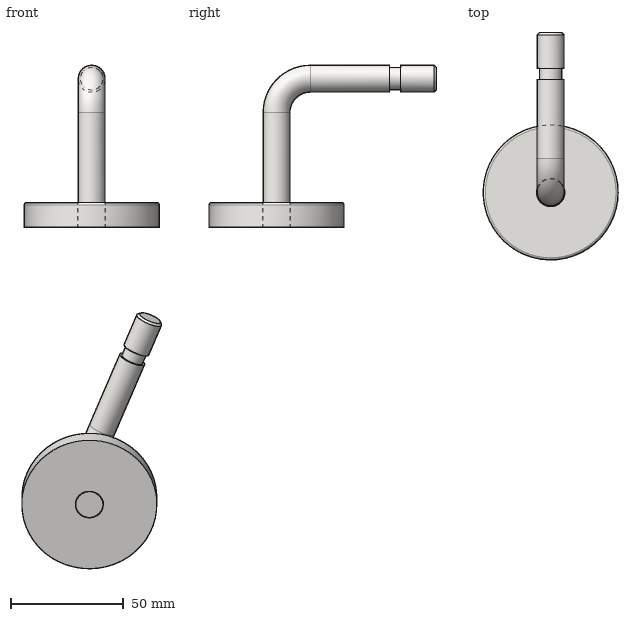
import cadquery as cq

total_length = 101.0
total_height = 72.0

base_diameter = 60.0
base_thickness = 11.0
base_edge_radius = 1.0
bore_diameter = 12.4

rod_diameter = 12.0
bend_radius = 15.0
tip_chamfer = 1.0

groove_width = 4.8
groove_depth = 1.0
tip_to_groove = 16.0

rod_radius = rod_diameter / 2
arm_height = total_height - rod_radius
tip_y = total_length - base_diameter / 2
bend_start_z = arm_height - bend_radius
groove_tip_side_y = tip_y - tip_to_groove


def make_base():
    """Round base with a softened upper rim and a through bore for the rod."""
    disc = cq.Workplane("XY").circle(base_diameter / 2).extrude(base_thickness)
    disc = disc.faces(">Z").edges().fillet(base_edge_radius)
    bore = cq.Workplane("XY").circle(bore_diameter / 2).extrude(base_thickness)
    return disc.cut(bore)


def make_groove_cutter():
    """Ring around the horizontal arm, extruded from the tip side of the groove toward -Y."""
    groove_floor_radius = rod_radius - groove_depth
    cutter_outer_radius = rod_radius + groove_depth
    return (
        cq.Workplane("XZ", origin=(0, groove_tip_side_y, arm_height))
        .circle(cutter_outer_radius)
        .circle(groove_floor_radius)
        .extrude(groove_width)
    )


def make_rod():
    """Round rod from the underside of the base, bent 90 degrees, grooved and chamfered at its tip."""
    path = (
        cq.Workplane("YZ")
        .moveTo(0, 0)
        .lineTo(0, bend_start_z)
        .tangentArcPoint((bend_radius, arm_height), relative=False)
        .lineTo(tip_y, arm_height)
    )
    rod = cq.Workplane("XY").circle(rod_radius).sweep(path)
    rod = rod.faces(">Y").edges().chamfer(tip_chamfer)
    return rod.cut(make_groove_cutter())


base = make_base()
rod = make_rod()

result = cq.Compound.makeCompound([base.solids().val(), rod.solids().val()])